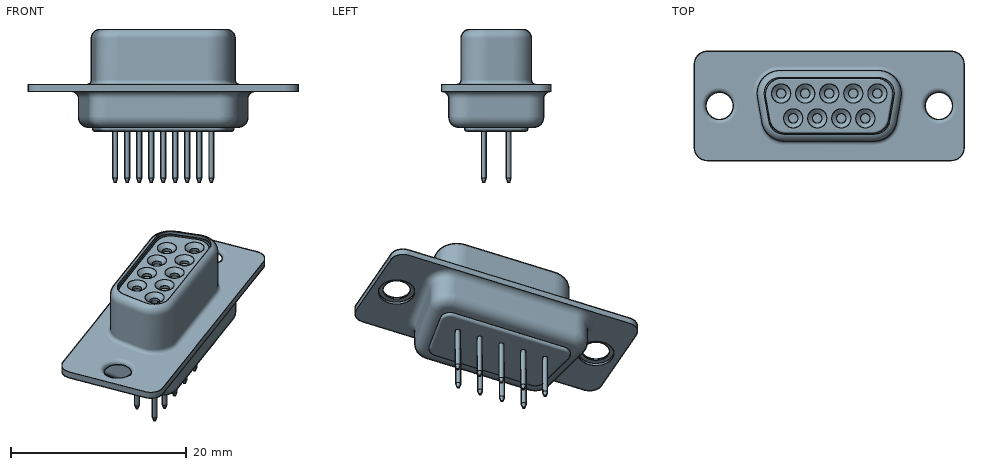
import cadquery as cq
import math


flange_top = 0
flange_length = 30.8
flange_width = 12.5
flange_thickness = 0.83
flange_bottom = flange_top - flange_thickness
flange_corner_radius = 1.5
mount_hole_diameter = 3.08
mount_hole_spacing = 25.0
mount_hole_rounding = 0.52

side_slant = math.radians(10)

shell_half_width = 8.22
shell_half_height = 4.05
shell_corner_radius = 2.62
shell_top = 6.28
shell_rim_rounding = 1.05
shell_foot_rounding = 0.45
lip_width = 0.8

sheet_thickness = 0.37

block_half_width = 7.27
block_half_height = 3.15
block_corner_radius = 1.85
block_rounding = 0.22
face_recess = 0.43

rear_half_width = 9.67
rear_half_height = 5.42
rear_corner_radius = 2.03
rear_bottom = -4.93
rear_rim_rounding = 1.17
rear_foot_rounding = 0.8

base_half_width = 8.07
base_half_height = 3.6
base_corner_radius = 1.15
base_height = 0.43
base_rounding = 0.28

contact_pitch = 2.75
row_spacing = 2.83
wide_row_count = 5
narrow_row_count = 4
socket_diameter = 1.08
socket_mouth_diameter = 2.2
socket_mouth_depth = 0.45
socket_depth = 0.83
pin_diameter = 0.6
pin_tip_diameter = 0.25
pin_tip_length = 0.52
pin_bottom = -11.18

base_bottom = rear_bottom - base_height
face_top = shell_top - face_recess


def d_block(half_width, half_height, corner_radius, z_low, z_high):
    """Prism with a rounded D outline, wide along +Y and narrow along -Y."""
    y_centre = half_height - corner_radius
    x_wide = half_width - corner_radius
    x_narrow = x_wide - 2 * y_centre * math.tan(side_slant)
    diagonal = corner_radius * math.sqrt(0.5)
    side_x = corner_radius * math.cos(side_slant)
    side_y = corner_radius * math.sin(side_slant)
    outline = (
        cq.Workplane("XY", origin=(0, 0, z_low))
        .moveTo(-x_wide, half_height)
        .lineTo(x_wide, half_height)
        .threePointArc((x_wide + diagonal, y_centre + diagonal), (x_wide + side_x, y_centre - side_y))
        .lineTo(x_narrow + side_x, -y_centre - side_y)
        .threePointArc((x_narrow + diagonal, -y_centre - diagonal), (x_narrow, -half_height))
        .lineTo(-x_narrow, -half_height)
        .threePointArc((-x_narrow - diagonal, -y_centre - diagonal), (-x_narrow - side_x, -y_centre - side_y))
        .lineTo(-x_wide - side_x, y_centre - side_y)
        .threePointArc((-x_wide - diagonal, y_centre + diagonal), (-x_wide, half_height))
        .close()
    )
    return outline.extrude(z_high - z_low)


def foot_edges(half_width, half_height, z):
    """Selector for the edges where a D block meets the flange at height z."""
    margin = 0.03
    return cq.selectors.BoxSelector(
        (-half_width - margin, -half_height - margin, z - margin),
        (half_width + margin, half_height + margin, z + margin),
        boundingbox=True,
    )


def make_flange():
    """Flange with flared mounting holes, relieved from below where the flare ends."""
    flange = (
        cq.Workplane("XY", origin=(0, 0, flange_bottom))
        .rect(flange_length, flange_width)
        .extrude(flange_thickness)
        .edges("|Z")
        .fillet(flange_corner_radius)
    )
    mount_points = [(-mount_hole_spacing / 2, 0), (mount_hole_spacing / 2, 0)]
    mount_holes = (
        cq.Workplane("XY", origin=(0, 0, flange_bottom))
        .pushPoints(mount_points)
        .circle(mount_hole_diameter / 2)
        .extrude(flange_thickness)
    )
    flange = flange.cut(mount_holes)
    hole_rims = flange.faces(">Z").edges(cq.selectors.RadiusNthSelector(-1))
    flange = hole_rims.fillet(mount_hole_rounding)
    rear_reliefs = (
        cq.Workplane("XY", origin=(0, 0, flange_bottom))
        .pushPoints(mount_points)
        .circle(mount_hole_diameter / 2 + mount_hole_rounding)
        .extrude(flange_thickness - mount_hole_rounding)
    )
    return flange.cut(rear_reliefs)


def contact_points():
    """Centres of the contacts in both staggered rows."""
    points = []
    rows = [(row_spacing / 2, wide_row_count), (-row_spacing / 2, narrow_row_count)]
    for y, count in rows:
        for index in range(count):
            points.append(((index - (count - 1) / 2) * contact_pitch, y))
    return points


def make_socket():
    """Round socket cavity with a conical mouth, centred on the Z axis."""
    mouth_radius = socket_mouth_diameter / 2
    socket_radius = socket_diameter / 2
    return (
        cq.Workplane("XZ")
        .moveTo(0, face_top)
        .lineTo(mouth_radius, face_top)
        .lineTo(socket_radius, face_top - socket_mouth_depth)
        .lineTo(socket_radius, face_top - socket_depth)
        .lineTo(0, face_top - socket_depth)
        .close()
        .revolve(360, (0, 0), (0, 1))
    )


def make_pin():
    """Round pin with a tapered tip, centred on the Z axis and rooted in the base."""
    return (
        cq.Workplane("XZ")
        .moveTo(0, rear_bottom)
        .lineTo(pin_diameter / 2, rear_bottom)
        .lineTo(pin_diameter / 2, pin_bottom + pin_tip_length)
        .lineTo(pin_tip_diameter / 2, pin_bottom)
        .lineTo(0, pin_bottom)
        .close()
        .revolve(360, (0, 0), (0, 1))
    )


mating_shell = d_block(shell_half_width, shell_half_height, shell_corner_radius, flange_bottom, shell_top)
mating_shell = mating_shell.faces(">Z").edges().fillet(shell_rim_rounding)
rear_shell = d_block(rear_half_width, rear_half_height, rear_corner_radius, rear_bottom, flange_bottom)
rear_shell = rear_shell.faces("<Z").edges().fillet(rear_rim_rounding)

body = make_flange().union(mating_shell).union(rear_shell)
body = body.edges(foot_edges(shell_half_width, shell_half_height, flange_top)).fillet(shell_foot_rounding)
body = body.edges(foot_edges(rear_half_width, rear_half_height, flange_bottom)).fillet(rear_foot_rounding)

cavity = d_block(
    shell_half_width - sheet_thickness,
    shell_half_height - sheet_thickness,
    shell_corner_radius - sheet_thickness,
    flange_top,
    shell_top - sheet_thickness,
)
cavity = cavity.faces(">Z").edges().fillet(shell_rim_rounding - sheet_thickness)
opening = d_block(
    shell_half_width - lip_width,
    shell_half_height - lip_width,
    shell_corner_radius - lip_width,
    flange_top,
    shell_top,
)
body = body.cut(cavity).cut(opening)

block = d_block(block_half_width, block_half_height, block_corner_radius, flange_top, face_top)
block = block.faces(">Z").edges().fillet(block_rounding)
body = body.union(block)

base = d_block(base_half_width, base_half_height, base_corner_radius, base_bottom, rear_bottom)
base = base.faces("<Z").edges().fillet(base_rounding)
body = body.union(base)

socket = make_socket()
pin = make_pin()
for x, y in contact_points():
    body = body.cut(socket.translate((x, y, 0)))
    body = body.union(pin.translate((x, y, 0)))

result = body